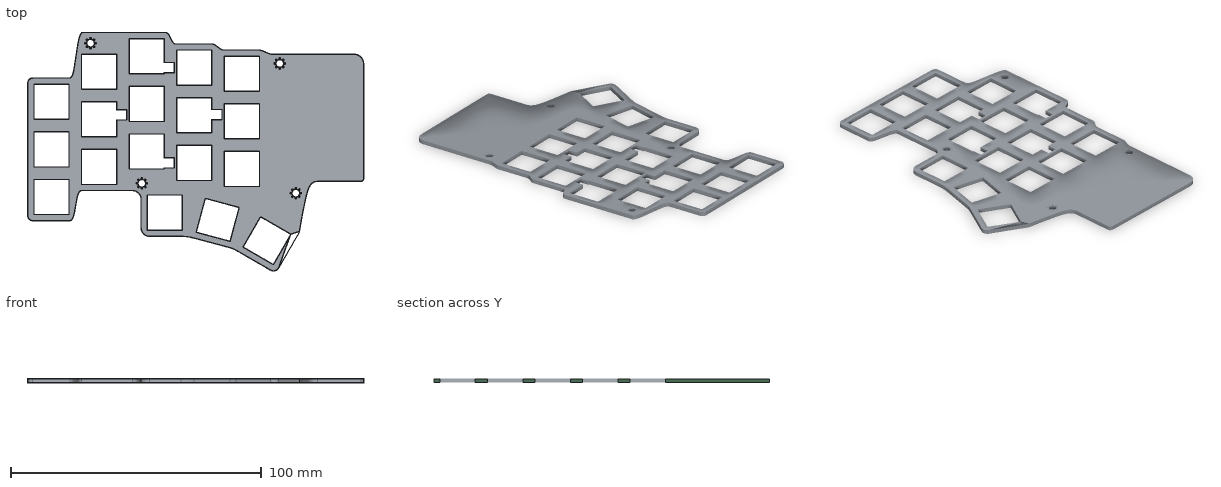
import cadquery as cq
import math

plate_width = 134.005
plate_depth = 95.12
thickness = 1.69

key_pitch = 18.98
key_opening = 13.9
rows = 3
column_rises = [0.0, 12.0, 18.15, 13.6, 11.2]
outer_column_bottom = plate_depth - max(column_rises) - rows * key_pitch

thumb_keys = [
    (54.65, 23.3, 0.0),
    (75.75, 20.4, -15.0),
    (95.4, 12.1, -30.0),
]

notch_size = 4.0
notches = [
    (1, 1, 1.8),
    (2, 0, -4.55),
    (2, 2, -4.5),
    (3, 1, 0.3),
]

screw_diameter = 3.0
via_diameter = 0.5
via_ring_radius = 2.0
via_count = 8
screw_centres = [(25.05, 90.85), (100.5, 82.75), (45.5, 34.95), (106.9, 31.05)]

pad_top = 86.5
pad_bottom = 35.7
pad_corner_radius = 4.0
pad_lower_corner_radius = 1.2

key_corner_radius = 2.0
thumb_corner_radius = 3.4
thumb_tip_radius = 2.35
first_bend_radius = 20.0
second_bend_radius = 10.0
outer_column_top_step = (16.7, 21.9, 2.8)
outer_column_bottom_step = (21.5, 16.8, 2.8)
column_steps = [(55.0, 59.0, 2.0), (73.5, 78.0, 1.5), (92.0, 97.5, 2.0)]

sweep_start_x = 115.5
sweep_start_handle = 4.0
sweep_middle_handle = (111.2, 30.0)
sweep_middle = (109.45, 22.0)
sweep_lower_handle = (108.8, 18.2)
sweep_end_handle = (108.2, 15.0)


def column_left(column):
    return column * key_pitch


def column_bottom(column):
    return outer_column_bottom + column_rises[column]


def column_top(column):
    return column_bottom(column) + rows * key_pitch


def key_centre(column, row):
    x = column_left(column) + key_pitch / 2
    y = column_bottom(column) + (row + 0.5) * key_pitch
    return x, y


def thumb_point(thumb, along, across):
    """Point of a thumb key cell, measured from its centre along its turned axes."""
    x, y, degrees = thumb
    turn = math.radians(degrees)
    return (
        x + along * math.cos(turn) - across * math.sin(turn),
        y + along * math.sin(turn) + across * math.cos(turn),
    )


def meeting_point(start, start_degrees, end, end_degrees):
    """Where the lines through two points, at two directions, cross."""
    start_angle = math.radians(start_degrees)
    end_angle = math.radians(end_degrees)
    ux, uy = math.cos(start_angle), math.sin(start_angle)
    vx, vy = math.cos(end_angle), math.sin(end_angle)
    dx, dy = end[0] - start[0], end[1] - start[1]
    travel = (dx * vy - dy * vx) / (ux * vy - uy * vx)
    return start[0] + travel * ux, start[1] + travel * uy


def smooth_step(path, step, start_y, end_y):
    """Line to the start of `step`, then a smooth curve to its end that leaves and arrives along X."""
    start_x, end_x, handle_length = step
    handle = math.copysign(handle_length, end_x - start_x)
    controls = [(start_x + handle, start_y), (end_x - handle, end_y), (end_x, end_y)]
    return path.lineTo(start_x, start_y).bezier(controls, includeCurrent=True)


def round_corner(path, before, corner, after, radius):
    """Line towards `corner`, then an arc of `radius` that turns towards `after`."""
    to_before = (before[0] - corner[0], before[1] - corner[1])
    to_after = (after[0] - corner[0], after[1] - corner[1])
    before_length = math.hypot(*to_before)
    after_length = math.hypot(*to_after)
    unit_before = (to_before[0] / before_length, to_before[1] / before_length)
    unit_after = (to_after[0] / after_length, to_after[1] / after_length)
    dot = unit_before[0] * unit_after[0] + unit_before[1] * unit_after[1]
    half_angle = math.acos(dot) / 2
    setback = radius / math.tan(half_angle)
    bisector = (unit_before[0] + unit_after[0], unit_before[1] + unit_after[1])
    bisector_length = math.hypot(*bisector)
    middle_distance = radius / math.sin(half_angle) - radius
    start = (corner[0] + setback * unit_before[0], corner[1] + setback * unit_before[1])
    middle = (
        corner[0] + middle_distance * bisector[0] / bisector_length,
        corner[1] + middle_distance * bisector[1] / bisector_length,
    )
    end = (corner[0] + setback * unit_after[0], corner[1] + setback * unit_after[1])
    return path.lineTo(*start).threePointArc(middle, end)


def draw_upper_edge(path):
    """Left edge, then the stepped tops of the key columns."""
    lower_left = (0, column_bottom(0))
    upper_left = (0, column_top(0))
    path = round_corner(path, lower_left, upper_left, (key_pitch, column_top(0)), key_corner_radius)
    path = smooth_step(path, outer_column_top_step, column_top(0), plate_depth)
    levels = [plate_depth, column_top(3), column_top(4), pad_top]
    for step, level, next_level in zip(column_steps, levels, levels[1:]):
        path = smooth_step(path, step, level, next_level)
    return path


def draw_pad_edge(path):
    """Top, right and bottom of the controller pad, then the sweep down to the last thumb key."""
    upper_corner = (plate_width, pad_top)
    lower_corner = (plate_width, pad_bottom)
    path = round_corner(path, (0, pad_top), upper_corner, lower_corner, pad_corner_radius)
    path = round_corner(path, upper_corner, lower_corner, (0, pad_bottom), pad_lower_corner_radius)
    path = path.lineTo(sweep_start_x, pad_bottom)
    start_handle = (sweep_start_x - sweep_start_handle, pad_bottom)
    path = path.bezier([start_handle, sweep_middle_handle, sweep_middle], includeCurrent=True)
    thumb_end = thumb_point(thumb_keys[-1], key_pitch / 2, key_pitch / 2)
    return path.bezier([sweep_lower_handle, sweep_end_handle, thumb_end], includeCurrent=True)


def draw_lower_edge(path):
    """Around the thumb keys, then along the bottoms of the key columns."""
    half_cell = key_pitch / 2
    first, second, third = thumb_keys
    inner_bottom = column_bottom(1)
    thumb_corner = thumb_point(first, -half_cell, -half_cell)
    inner_corner = (thumb_corner[0], inner_bottom)
    tip_upper = thumb_point(third, half_cell, half_cell)
    tip = thumb_point(third, half_cell, -half_cell)
    second_edge = thumb_point(second, 0, -half_cell)
    first_bend = meeting_point(thumb_corner, first[2], second_edge, second[2])
    second_bend = meeting_point(second_edge, second[2], tip, third[2])

    path = round_corner(path, tip_upper, tip, second_bend, thumb_tip_radius)
    path = round_corner(path, tip, second_bend, first_bend, second_bend_radius)
    path = round_corner(path, second_bend, first_bend, thumb_corner, first_bend_radius)
    path = round_corner(path, first_bend, thumb_corner, inner_corner, thumb_corner_radius)
    path = round_corner(path, thumb_corner, inner_corner, (0, inner_bottom), thumb_corner_radius)
    path = smooth_step(path, outer_column_bottom_step, inner_bottom, column_bottom(0))
    lower_left = (0, column_bottom(0))
    upper_left = (0, column_top(0))
    return round_corner(path, (key_pitch, column_bottom(0)), lower_left, upper_left, key_corner_radius)


def plate():
    path = cq.Workplane("XY").moveTo(0, (column_bottom(0) + column_top(0)) / 2)
    path = draw_lower_edge(draw_pad_edge(draw_upper_edge(path)))
    return path.close().extrude(thickness)


def box_cutter(centre, length, width, degrees=0.0):
    cutter = cq.Workplane("XY").rect(length, width).extrude(thickness)
    return cutter.rotate((0, 0, 0), (0, 0, 1), degrees).translate((centre[0], centre[1], 0))


def cut_keys(body):
    for column in range(len(column_rises)):
        for row in range(rows):
            body = body.cut(box_cutter(key_centre(column, row), key_opening, key_opening))
    for x, y, degrees in thumb_keys:
        body = body.cut(box_cutter((x, y), key_opening, key_opening, degrees))
    return body


def cut_notches(body):
    for column, row, rise in notches:
        x, y = key_centre(column, row)
        centre = (x + (key_opening + notch_size) / 2, y + rise)
        body = body.cut(box_cutter(centre, notch_size, notch_size))
    return body


def cut_screw_holes(body):
    screws = cq.Workplane("XY").pushPoints(screw_centres).circle(screw_diameter / 2).extrude(thickness)
    body = body.cut(screws)
    for centre in screw_centres:
        vias = (
            cq.Workplane("XY")
            .center(*centre)
            .polarArray(via_ring_radius, 0, 360, via_count)
            .circle(via_diameter / 2)
            .extrude(thickness)
        )
        body = body.cut(vias)
    return body


result = cut_screw_holes(cut_notches(cut_keys(plate())))